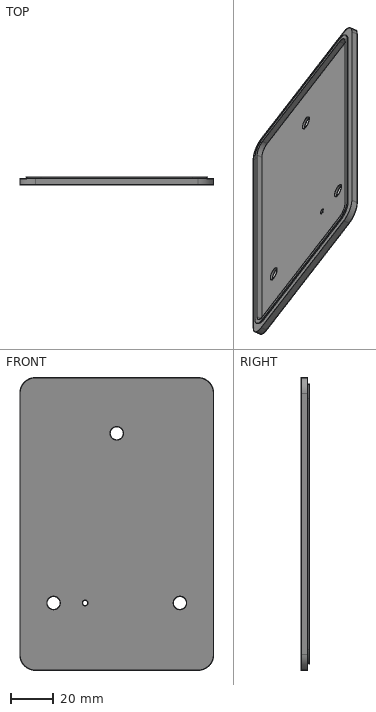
import cadquery as cq
import math

cover_width = 92.0
cover_height = 139.0
flange_thickness = 3.0
total_thickness = 3.8
floor_thickness = 1.2
corner_radius = 7.5

lip_inset = 3.0
lip_corner_radius = 7.0
lip_undercut = 0.4
lip_height = total_thickness - flange_thickness
lip_flare_angle = math.degrees(math.atan2(lip_undercut, lip_height))

lip_width = 2.0
cavity_inset = lip_inset + lip_width
cavity_corner_radius = lip_corner_radius - lip_width
cavity_depth = total_thickness - floor_thickness

mount_hole_diameter = 6.2
pilot_hole_diameter = 2.5
upper_hole_z = 43.0
lower_hole_z = -37.5
lower_hole_x = 30.0
pilot_hole_x = -lower_hole_x / 2

mount_hole_centers = [
    (0, upper_hole_z),
    (-lower_hole_x, lower_hole_z),
    (lower_hole_x, lower_hole_z),
]
pilot_hole_centers = [(pilot_hole_x, lower_hole_z)]


def xz_plane(y):
    """Workplane parallel to XZ at the given Y, with its normal along -Y."""
    return cq.Workplane("XZ", origin=(0, y, 0))


def rounded_outline(inset, radius):
    """Rounded rectangle set in from the cover outline."""
    return cq.Sketch().rect(cover_width - 2 * inset, cover_height - 2 * inset).vertices().fillet(radius)


def rounded_slab(inset, radius, back_y, depth, taper=0):
    """Slab with its outline at back_y, reaching towards -Y and narrowing by the taper angle."""
    return xz_plane(back_y).placeSketch(rounded_outline(inset, radius)).extrude(depth, taper=taper)


def through_holes(centers, diameter):
    """Cylinders along Y through the floor."""
    return xz_plane(floor_thickness).pushPoints(centers).circle(diameter / 2).extrude(floor_thickness)


flange = rounded_slab(0, corner_radius, flange_thickness, flange_thickness)
lip = rounded_slab(lip_inset, lip_corner_radius, total_thickness, lip_height, lip_flare_angle)
cavity = rounded_slab(cavity_inset, cavity_corner_radius, total_thickness, cavity_depth)

result = (
    flange.union(lip)
    .cut(cavity)
    .cut(through_holes(mount_hole_centers, mount_hole_diameter))
    .cut(through_holes(pilot_hole_centers, pilot_hole_diameter))
)